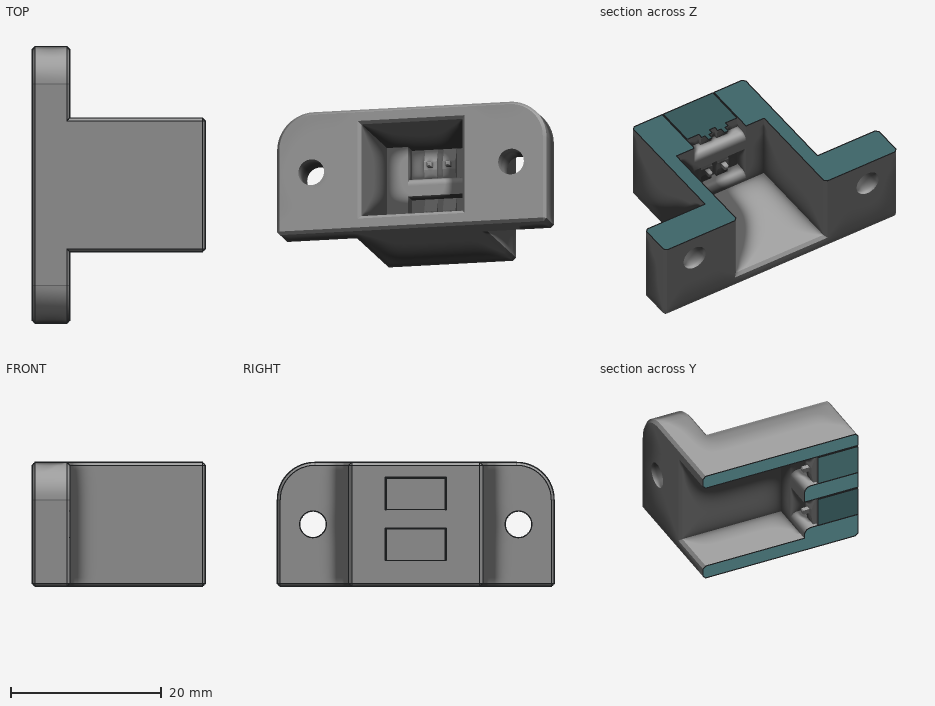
import cadquery as cq
import math


length = 23.0
height = 16.5
flange_width = 36.8
flange_thickness = 5.0
flange_corner_radius = 5.0
body_width = 17.8
outer_chamfer = 0.4

mount_hole_diameter = 3.5
mount_hole_spacing = 27.3

wall = 2.0
pocket_width = body_width - 2 * wall
pocket_height = height - 2 * wall
pocket_ceiling = height - wall
pocket_depth = 15.0
pocket_chamfer = 0.4

window_width = 8.1
window_height = 4.3
window_pitch = 6.75
window_lip_radius = 1.0
window_tops = [pocket_ceiling, pocket_ceiling - window_pitch]

connector_gap = 0.1
connector_width = window_width - 2 * connector_gap
connector_height = window_height - connector_gap
connector_recess = 2.0
connector_face = pocket_depth + connector_recess

contact_pitch = 2.54
contact_height = 1.9
ridge_width = 1.75
ridge_flat_height = 1.1
upper_slope = math.radians(22)
lower_slope = math.radians(11)
pin_size = 0.64
pin_length = 1.0
pin_tip_chamfer = 0.15


def box(x_start, x_end, width, z_bottom, z_top):
    """Box centred on Y = 0 between two X and two Z positions."""
    return (
        cq.Workplane("XY")
        .box(x_end - x_start, width, z_top - z_bottom, centered=(False, True, False))
        .translate((x_start, 0, z_bottom))
    )


def is_sharp_outer_edge(edge):
    """False for the seams of the rounded flange corners and the corners between flange and body."""
    center = edge.Center()
    at_flange_middle = abs(center.x - flange_thickness / 2) < outer_chamfer
    is_corner_seam = at_flange_middle and center.z > outer_chamfer
    at_flange_back = abs(center.x - flange_thickness) < outer_chamfer
    at_body_side = abs(abs(center.y) - body_width / 2) < outer_chamfer
    is_inner_corner = at_flange_back and at_body_side
    return not (is_corner_seam or is_inner_corner)


def make_shell():
    """Solid flange and body, with all sharp outer edges chamfered."""
    flange = (
        box(0, flange_thickness, flange_width, 0, height)
        .edges("|X and >Z")
        .fillet(flange_corner_radius)
    )
    shell = flange.union(box(0, length, body_width, 0, height))
    return shell.edges().filter(is_sharp_outer_edge).chamfer(outer_chamfer)


def make_mount_holes():
    return (
        cq.Workplane("YZ")
        .pushPoints([(side * mount_hole_spacing / 2, height / 2) for side in (-1, 1)])
        .circle(mount_hole_diameter / 2)
        .extrude(flange_thickness)
    )


def make_pocket():
    """Plug pocket with a chamfered mouth."""
    pocket = box(0, pocket_depth, pocket_width, wall, pocket_ceiling)
    mouth = (
        cq.Workplane("YZ")
        .center(0, height / 2)
        .rect(pocket_width + 2 * pocket_chamfer, pocket_height + 2 * pocket_chamfer)
        .workplane(offset=pocket_chamfer)
        .rect(pocket_width, pocket_height)
        .loft()
    )
    return pocket.union(mouth)


def make_window(z_top):
    """Connector window through the back wall, with a rounded lip along its front bottom edge."""
    z_floor = z_top - window_height
    opening = box(pocket_depth, length, window_width, z_floor, z_top)
    lip_blank = box(
        pocket_depth, pocket_depth + window_lip_radius, window_width, z_floor - window_lip_radius, z_floor
    )
    lip_round = (
        cq.Workplane("XZ")
        .center(pocket_depth + window_lip_radius, z_floor - window_lip_radius)
        .circle(window_lip_radius)
        .extrude(window_width / 2, both=True)
    )
    return opening.union(lip_blank.cut(lip_round))


def make_housing():
    housing = make_shell().cut(make_mount_holes()).cut(make_pocket())
    for z_top in window_tops:
        housing = housing.cut(make_window(z_top))
    return housing


def make_contact(y):
    """Sloped ridge with a square pin at its flat, standing on a connector face with its floor at Z = 0."""
    flat_top = contact_height + ridge_flat_height / 2
    flat_bottom = contact_height - ridge_flat_height / 2
    ridge_height = (connector_height - flat_top) * math.tan(upper_slope)
    foot_height = ridge_height - flat_bottom * math.tan(lower_slope)
    ridge = (
        cq.Workplane("XZ")
        .moveTo(connector_face, connector_height)
        .lineTo(connector_face - ridge_height, flat_top)
        .lineTo(connector_face - ridge_height, flat_bottom)
        .lineTo(connector_face - foot_height, 0)
        .lineTo(connector_face, 0)
        .close()
        .extrude(ridge_width / 2, both=True)
    )
    pin = (
        box(
            connector_face - ridge_height - pin_length,
            connector_face,
            pin_size,
            contact_height - pin_size / 2,
            contact_height + pin_size / 2,
        )
        .faces("<X")
        .chamfer(pin_tip_chamfer)
    )
    return ridge.union(pin).translate((0, y, 0))


def make_connector(z_floor):
    """Two-pin connector from its recessed face to the back of the housing."""
    connector = box(connector_face, length, connector_width, 0, connector_height)
    for side in (-1, 1):
        connector = connector.union(make_contact(side * contact_pitch / 2))
    return connector.translate((0, 0, z_floor))


housing = make_housing()
connectors = [make_connector(z_top - window_height) for z_top in window_tops]

bodies = [housing, *connectors]

result = cq.Compound.makeCompound([body.solids().val() for body in bodies])